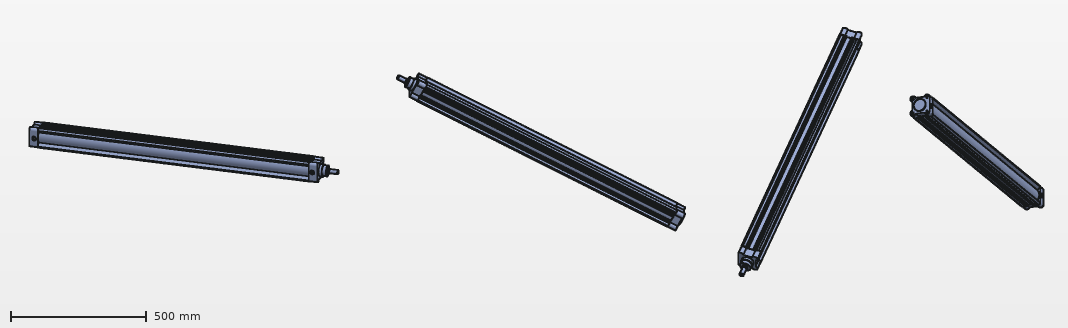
import cadquery as cq
import math

total_length = 1194.0
boss_length = 5.0
cap_length = 33.0
tube_length = 1053.0
collar_length = 12.0
gland_length = 15.0
lip_length = 4.0
thread_length = 32.0

rear_cap_start = boss_length
tube_start = rear_cap_start + cap_length
front_cap_start = tube_start + tube_length
front_cap_end = front_cap_start + cap_length
collar_end = front_cap_end + collar_length
gland_end = collar_end + gland_length
lip_end = gland_end + lip_length
thread_start = total_length - thread_length

side = 76.0
half_side = side / 2
lug_radius = 11.0
lug_center = half_side - lug_radius
cap_core_half = 31.0
boss_diameter = 47.0
screw_diameter = 6.0
screw_depth = 12.0
port_diameter = 15.0
port_setback = 19.0
port_shift = 1.8
port_depth = 12.0

tube_radius = 33.0
tube_corner_radius = 7.0
lug_edge = half_side - tube_corner_radius
groove_half = (math.sqrt(2 * tube_radius**2 - tube_corner_radius**2) - tube_corner_radius) / 2
groove_floor = groove_half + tube_corner_radius
lip_inner = 10.0
inner_lip_thickness = 4.0
outer_lip_thickness = 1.0
slot_inner = lip_inner + inner_lip_thickness
slot_outer = groove_half - outer_lip_thickness

gland_diameter = 42.0
gland_root_diameter = 39.0
lip_diameter = 21.0
rod_diameter = 19.0
thread_diameter = 17.0
thread_chamfer = 2.0


def disc(x, diameter, length):
    """Round bar on the cylinder axis, starting at x."""
    return cq.Workplane("YZ", origin=(x, 0, 0)).circle(diameter / 2).extrude(length)


def at_lugs(x):
    """Workplane across the axis at x, holding the four corner lug centers."""
    points = [(y, z) for y in (-lug_center, lug_center) for z in (-lug_center, lug_center)]
    return cq.Workplane("YZ", origin=(x, 0, 0)).pushPoints(points)


def cap_block(x):
    """Cap with round corner lugs, recessed on three sides and flat on the -Y side."""
    plane = cq.Workplane("YZ", origin=(x, 0, 0))
    core = plane.rect(2 * cap_core_half, 2 * cap_core_half).extrude(cap_length)
    lugs = at_lugs(x).circle(lug_radius).extrude(cap_length)
    flat = plane.center(-half_side / 2, 0).rect(half_side, 2 * lug_center).extrude(cap_length)
    return core.union(lugs).union(flat)


def port(x, z):
    """Blind round port going inward from the -Y side."""
    return cq.Workplane("XZ", origin=(x, -half_side, z)).circle(port_diameter / 2).extrude(-port_depth)


def make_rear_cap():
    """Rear cap with a centering boss, blind screw holes and a port just below the axis."""
    boss = disc(0, boss_diameter, boss_length)
    screws = at_lugs(rear_cap_start).circle(screw_diameter / 2).extrude(screw_depth)
    cap = cap_block(rear_cap_start).union(boss).cut(screws)
    return cap.cut(port(rear_cap_start + port_setback, -port_shift))


def make_front_cap():
    """Front cap with collar, flared gland and lip, bored for the rod; its port is just above the axis."""
    collar = disc(front_cap_end, boss_diameter, collar_length)
    gland = (
        cq.Workplane("YZ", origin=(collar_end, 0, 0))
        .circle(gland_root_diameter / 2)
        .workplane(offset=gland_length)
        .circle(gland_diameter / 2)
        .loft(ruled=True)
    )
    lip = disc(gland_end, lip_diameter, lip_length)
    bore = disc(front_cap_start, rod_diameter, lip_end - front_cap_start)
    cap = cap_block(front_cap_start).union(collar).union(gland).union(lip).cut(bore)
    return cap.cut(port(front_cap_end - port_setback, port_shift))


def make_tube():
    """Round barrel with four corner lugs, and two lipped slots on the top and bottom sides."""
    plane = cq.Workplane("YZ", origin=(tube_start, 0, 0))
    barrel = plane.circle(tube_radius).extrude(tube_length)
    arc_reach = lug_edge + tube_corner_radius * math.sqrt(0.5)
    lug = (
        plane.moveTo(0, 0)
        .lineTo(groove_half, groove_floor)
        .lineTo(lug_edge, half_side)
        .threePointArc((arc_reach, arc_reach), (half_side, lug_edge))
        .lineTo(groove_floor, groove_half)
        .close()
        .extrude(tube_length)
    )
    lips_center = (lip_inner + groove_half) / 2
    lips = plane.pushPoints([(-lips_center, 0), (lips_center, 0)])
    slots = (
        plane.rect(2 * slot_outer, side)
        .extrude(tube_length)
        .cut(plane.rect(2 * slot_inner, side).extrude(tube_length))
        .cut(plane.rect(2 * slot_outer, 2 * groove_floor).extrude(tube_length))
    )
    tube = barrel.union(lips.rect(groove_half - lip_inner, side).extrude(tube_length)).cut(slots)
    for quarter in range(4):
        tube = tube.union(lug.rotate((0, 0, 0), (1, 0, 0), 90 * quarter))
    return tube


def make_rod():
    """Rod through the front cap, stepping down to its threaded end."""
    shank = disc(front_cap_start, rod_diameter, thread_start - front_cap_start)
    thread = disc(thread_start, thread_diameter, thread_length).faces(">X").chamfer(thread_chamfer)
    return shank.union(thread)


rear_cap = make_rear_cap()
tube = make_tube()
front_cap = make_front_cap()
rod = make_rod()

result = cq.Compound.makeCompound([rear_cap.val(), tube.val(), front_cap.val(), rod.val()])